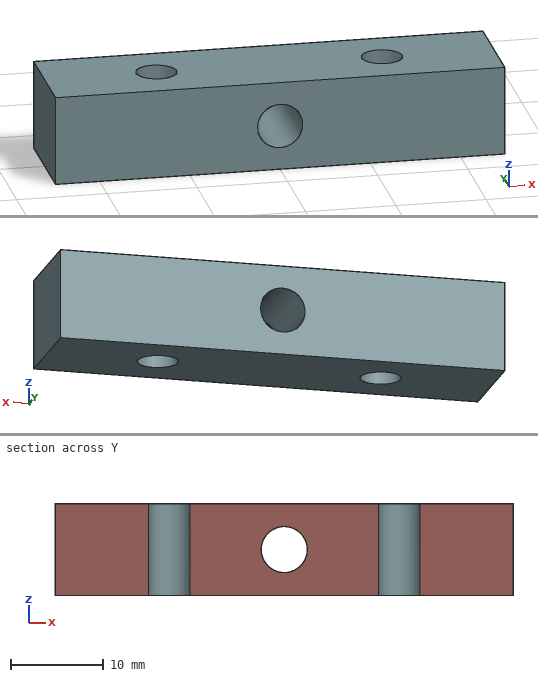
import cadquery as cq

length = 49.8
depth = 12.0
height = 10.0

cross_hole_diameter = 5.0
vertical_hole_diameter = 4.5
vertical_hole_spacing = 25.0

block = cq.Workplane("XY").box(length, depth, height)

half_spacing = vertical_hole_spacing / 2
drilled = (
    block.faces(">Z")
    .workplane()
    .pushPoints([(-half_spacing, 0), (half_spacing, 0)])
    .hole(vertical_hole_diameter)
)

result = drilled.faces("<Y").workplane(origin=(0, 0, 0)).hole(cross_hole_diameter)